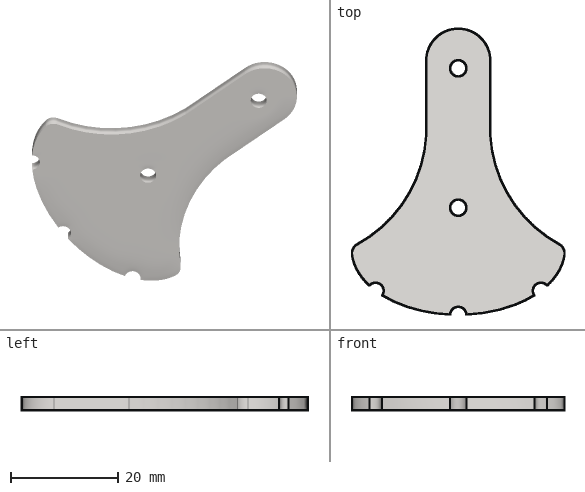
import cadquery as cq
import math

length = 53.45
thickness = 2.5
hole_radius = 1.5
handle_width = 12.05
handle_radius = handle_width / 2
handle_shoulder_y = 33.4
handle_hole_y = 46.05
center_hole_y = 20.0

rim_half_width = 19.95
rim_half_height = 12.25
rim_center_y = rim_half_height * math.sqrt(1 - (hole_radius / rim_half_width) ** 2)
tip_angle = 2.0
tip_radius = 2.0
side_notch_x = 15.45

flank_radius = 24.75


def rim_point(angle):
    """Point on the rim ellipse at a parametric angle in degrees."""
    a = math.radians(angle)
    return rim_half_width * math.cos(a), rim_center_y + rim_half_height * math.sin(a)


tip_x, tip_y = rim_point(tip_angle)
handle_end_center_y = length - handle_radius

outline = (
    cq.Workplane("XY")
    .moveTo(-tip_x, tip_y)
    .ellipseArc(rim_half_width, rim_half_height, 180 - tip_angle, 360 + tip_angle)
    .radiusArc((handle_radius, handle_shoulder_y), flank_radius)
    .lineTo(handle_radius, handle_end_center_y)
    .threePointArc((0, length), (-handle_radius, handle_end_center_y))
    .lineTo(-handle_radius, handle_shoulder_y)
    .radiusArc((-tip_x, tip_y), flank_radius)
    .close()
)
plate = outline.extrude(thickness)

for side in (-1, 1):
    tip_edge = cq.selectors.NearestToPointSelector((side * tip_x, tip_y, thickness / 2))
    plate = plate.edges("|Z").edges(tip_edge).fillet(tip_radius)

side_notch_angle = -math.degrees(math.acos(side_notch_x / rim_half_width))
notch_centers = [rim_point(a) for a in (side_notch_angle, -90, -180 - side_notch_angle)]
hole_centers = [(0, handle_hole_y), (0, center_hole_y)]
cutters = (
    cq.Workplane("XY")
    .pushPoints(hole_centers + notch_centers)
    .circle(hole_radius)
    .extrude(thickness)
)

result = plate.cut(cutters)